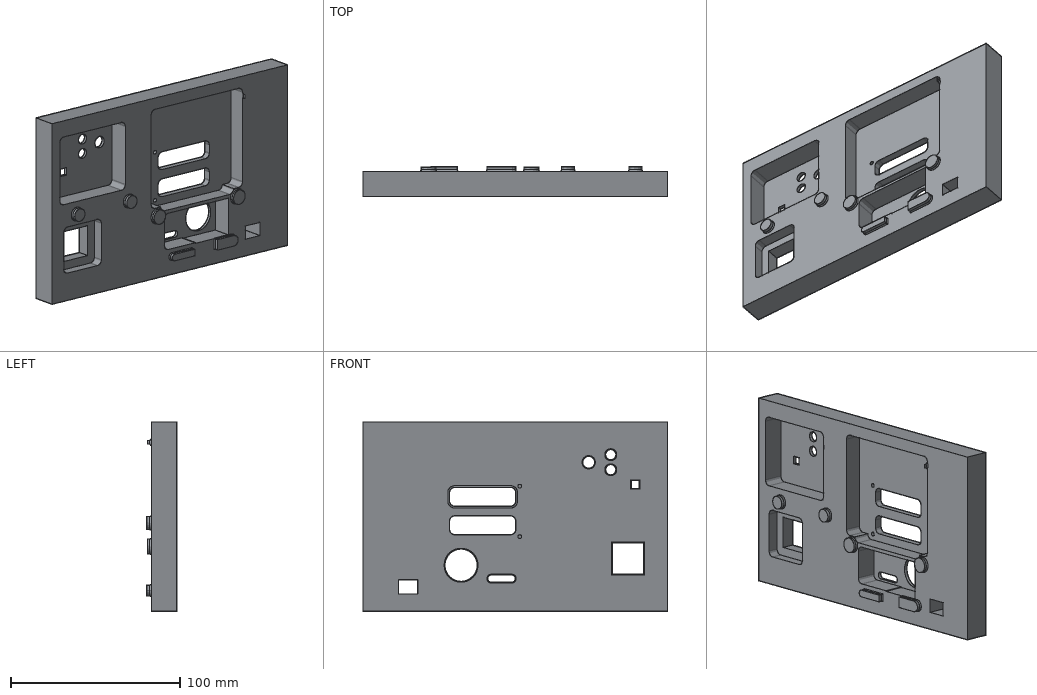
import cadquery as cq
import math

PANEL_WIDTH = 180.0
PANEL_HEIGHT = 112.0
PANEL_DEPTH = 15.0
TOTAL_DEPTH = 17.8
SKIN = 4.5
EDGE_CHAMFER = 0.5
RIM_MARGIN = 0.1

SLOT_X = -19.25
SLOT_LENGTH = 39.0
SLOT_HEIGHT = 11.0
SLOT_RADIUS = 3.0
UPPER_SLOT_Z = 11.7
LOWER_SLOT_Z = -5.1
LEDGE_WIDTH = 1.1
LEDGE_DEPTH = 0.2
DISPLAY_POCKET_X = (-55.5, 14.2)
DISPLAY_POCKET_Z = (-12.4, 49.0)
LEDGE_POCKET_X = (-48.7, 7.0)
LEDGE_POCKET_Z = (-15.4, 10.0)

SCREW_DIAMETER = 2.2
SCREW_SKIN = 0.4
SCREW_X = 2.7
SCREW_Z = (18.0, -11.8)

LARGE_HOLE_DIAMETER = 19.0
LARGE_HOLE_X = -32.0
LARGE_HOLE_Z = -28.7
OBLONG_LENGTH = 16.2
OBLONG_HEIGHT = 4.2
OBLONG_X = -8.1
OBLONG_Z = -36.6
CONNECTOR_SKIN = 2.5
CONNECTOR_TOP = -17.5
ROUND_POCKET_X = (-45.0, -19.8)
ROUND_POCKET_BOTTOM = -40.4
OBLONG_POCKET_X = (-30.0, 4.0)
OBLONG_POCKET_BOTTOM = -40.0

INDICATOR_HOLES = [
    (43.4, 32.1, 7.0, 0.4),
    (56.4, 36.6, 6.0, EDGE_CHAMFER),
    (56.4, 27.7, 6.0, EDGE_CHAMFER),
]
SMALL_SQUARE = 4.5
SMALL_SQUARE_X = 70.8
SMALL_SQUARE_Z = 19.0
INDICATOR_SKIN = 2.5
INDICATOR_POCKET_X = (34.0, 84.0)
INDICATOR_POCKET_Z = (4.0, 46.0)

LARGE_SQUARE = 18.5
LARGE_SQUARE_X = 66.6
LARGE_SQUARE_Z = -24.7
LARGE_SQUARE_SKIN = 8.5
LARGE_SQUARE_POCKET = 28.6

RECTANGLE_WIDTH = 11.2
RECTANGLE_HEIGHT = 8.2
RECTANGLE_X = -63.3
RECTANGLE_Z = -41.5

POCKET_RADIUS = 3.0

FOOT_HEIGHT = 1.0
FOOT_FLARE = 0.35
POST_DIAMETER = 7.8
POST_X = (31.2, 71.0)
POST_Z = -3.8
WIDE_POST_DIAMETER = 8.88
WIDE_POST_HEIGHT = 2.4
WIDE_POSTS = [(-51.2, -17.6), (9.5, -17.6), (-51.2, 43.9)]

ROUNDING_GAP = 0.01
LEFT_BAR_Z = (-46.9, -40.4)
RIGHT_BAR_Z = (-46.9, -42.8)
LEFT_BAR_X = (-49.9, -34.2)
RIGHT_BAR_X = (-16.8, 0.3)


def sketch_plane(y):
    """XZ workplane at depth y, extruding toward +Y, with local x = X and local y = -Z."""
    return cq.Workplane(cq.Plane(origin=(0, y, 0), xDir=(1, 0, 0), normal=(0, 1, 0)))


def block(x_range, z_range, y_start, y_end):
    size_x = x_range[1] - x_range[0]
    size_z = z_range[1] - z_range[0]
    corner = (x_range[0], y_start, z_range[0])
    return cq.Workplane("XY").box(size_x, y_end - y_start, size_z, centered=False).translate(corner)


def span(centre, size):
    return (centre - size / 2, centre + size / 2)


def pocket(x_range, z_range, floor, back=PANEL_DEPTH):
    return block(x_range, z_range, floor, back).edges("|Y").fillet(POCKET_RADIUS)


def cylinder(x, z, diameter, y_start, y_end):
    return sketch_plane(y_start).center(x, -z).circle(diameter / 2).extrude(y_end - y_start)


def rectangle_cutter(x, z, width, height, radius=0.0):
    cutter = block(span(x, width), span(z, height), 0, PANEL_DEPTH)
    if radius:
        cutter = cutter.edges("|Y").fillet(radius)
    return cutter


def cut_opening(body, cutter, chamfer):
    """Cut a through opening and chamfer its front rim."""
    body = body.cut(cutter)
    rim = cutter.faces("<Y").val().BoundingBox()
    selector = cq.selectors.BoxSelector(
        (rim.xmin - RIM_MARGIN, -RIM_MARGIN, rim.zmin - RIM_MARGIN),
        (rim.xmax + RIM_MARGIN, RIM_MARGIN, rim.zmax + RIM_MARGIN),
        boundingbox=True,
    )
    return body.edges(selector).chamfer(chamfer)


def bar(x_range, z_range, rounded_side):
    """Raised bar on the back face, rounded at one end."""
    radius = (z_range[1] - z_range[0]) / 2 - ROUNDING_GAP
    solid = block(x_range, z_range, PANEL_DEPTH, TOTAL_DEPTH)
    return solid.edges("|Y").edges(rounded_side).fillet(radius)


def with_foot(pad):
    """Add a sloping foot around the base of a pad."""
    base = pad.faces("<Y").wires().val()
    wide = base.offset2D(FOOT_FLARE)[0]
    slope = math.degrees(math.atan2(FOOT_FLARE, FOOT_HEIGHT))
    foot = cq.Solid.extrudeLinear(wide, [], cq.Vector(0, FOOT_HEIGHT, 0), slope)
    return pad.union(cq.Workplane(foot))


def panel_with_pockets():
    body = block(span(0, PANEL_WIDTH), span(0, PANEL_HEIGHT), 0, PANEL_DEPTH)
    round_pocket_z = (ROUND_POCKET_BOTTOM, CONNECTOR_TOP)
    body = body.cut(block(ROUND_POCKET_X, round_pocket_z, CONNECTOR_SKIN, PANEL_DEPTH))
    body = body.cut(pocket(OBLONG_POCKET_X, (OBLONG_POCKET_BOTTOM, CONNECTOR_TOP), CONNECTOR_SKIN))
    body = body.cut(pocket(INDICATOR_POCKET_X, INDICATOR_POCKET_Z, INDICATOR_SKIN))
    square_x = span(LARGE_SQUARE_X, LARGE_SQUARE_POCKET)
    square_z = span(LARGE_SQUARE_Z, LARGE_SQUARE_POCKET)
    body = body.cut(pocket(square_x, square_z, LARGE_SQUARE_SKIN))
    return body


def cut_display_recess(body):
    """Display pocket, its lower ledge and the blind screw holes in its floor."""
    body = body.cut(pocket(DISPLAY_POCKET_X, DISPLAY_POCKET_Z, SKIN, TOTAL_DEPTH))
    body = body.cut(pocket(LEDGE_POCKET_X, LEDGE_POCKET_Z, SKIN))
    for z in SCREW_Z:
        body = body.cut(cylinder(SCREW_X, z, SCREW_DIAMETER, SCREW_SKIN, SKIN))
    return body


def cut_openings(body):
    upper = rectangle_cutter(SLOT_X, UPPER_SLOT_Z, SLOT_LENGTH, SLOT_HEIGHT, SLOT_RADIUS)
    lower = rectangle_cutter(SLOT_X, LOWER_SLOT_Z, SLOT_LENGTH, SLOT_HEIGHT, SLOT_RADIUS)
    ledge_length = SLOT_LENGTH + 2 * LEDGE_WIDTH
    ledge_height = SLOT_HEIGHT + 2 * LEDGE_WIDTH
    ledge = block(span(SLOT_X, ledge_length), span(UPPER_SLOT_Z, ledge_height), 0, LEDGE_DEPTH)
    ledge = ledge.edges("|Y").fillet(SLOT_RADIUS + LEDGE_WIDTH)
    body = body.cut(upper).cut(lower).cut(ledge)
    large_hole = cylinder(LARGE_HOLE_X, LARGE_HOLE_Z, LARGE_HOLE_DIAMETER, 0, PANEL_DEPTH)
    body = cut_opening(body, large_hole, EDGE_CHAMFER)
    oblong = sketch_plane(0).center(OBLONG_X, -OBLONG_Z).slot2D(OBLONG_LENGTH, OBLONG_HEIGHT).extrude(SKIN)
    body = cut_opening(body, oblong, EDGE_CHAMFER)
    for x, z, diameter, chamfer in INDICATOR_HOLES:
        body = cut_opening(body, cylinder(x, z, diameter, 0, PANEL_DEPTH), chamfer)
    small_square = rectangle_cutter(SMALL_SQUARE_X, SMALL_SQUARE_Z, SMALL_SQUARE, SMALL_SQUARE)
    body = cut_opening(body, small_square, EDGE_CHAMFER)
    large_square = rectangle_cutter(LARGE_SQUARE_X, LARGE_SQUARE_Z, LARGE_SQUARE, LARGE_SQUARE)
    body = cut_opening(body, large_square, EDGE_CHAMFER)
    return body.cut(rectangle_cutter(RECTANGLE_X, RECTANGLE_Z, RECTANGLE_WIDTH, RECTANGLE_HEIGHT))


def add_pads(body):
    for x in POST_X:
        body = body.union(with_foot(cylinder(x, POST_Z, POST_DIAMETER, PANEL_DEPTH, TOTAL_DEPTH)))
    wide_post_end = PANEL_DEPTH + WIDE_POST_HEIGHT
    for x, z in WIDE_POSTS:
        post = cylinder(x, z, WIDE_POST_DIAMETER, PANEL_DEPTH, wide_post_end)
        body = body.union(with_foot(post))
    body = body.union(with_foot(bar(LEFT_BAR_X, LEFT_BAR_Z, "<X")))
    return body.union(with_foot(bar(RIGHT_BAR_X, RIGHT_BAR_Z, ">X")))


result = cut_openings(cut_display_recess(add_pads(panel_with_pockets())))